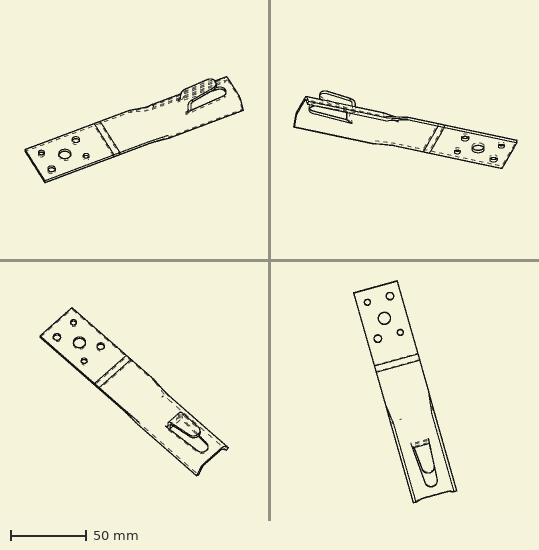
import cadquery as cq
import math

length = 146.5
width = 30.0
thickness = 2.2
inner_bend = 1.8
outer_bend = inner_bend + thickness

front_end = -length / 2
back_end = length / 2
strip_front = -22.3
strip_back = -17.9
transition_front = 3.4
channel_front = 18.2

channel_top = 6.2
channel_bottom = -3.2
leg_angle = math.radians(60)
side_edge_height = 1.9
side_edge_split = 0.5

center_hole_diameter = 8.0
center_hole_y = -51.3
large_hole_diameter = 5.0
small_hole_diameter = 4.0
left_hole_x = -7.9
right_hole_x = 7.6
back_hole_y = -39.3
front_hole_y = -64.8

tab_root_y = 35.3
tab_root_half_width = 6.08
tip_radius = 4.18
upright_length = 3.8
arm_rise = 10.0
arm_length = 19.8
second_bend = 90 - arm_rise

middle_bend = (inner_bend + outer_bend) / 2
root_bend_run = middle_bend * math.radians(90)
second_bend_run = middle_bend * math.radians(second_bend)
upright_start_run = root_bend_run
upright_end_run = upright_start_run + upright_length
arm_start_run = upright_end_run + second_bend_run
blank_length = arm_start_run + arm_length
tip_center_run = blank_length - tip_radius


def blank_half_width(run):
    """Half width of the tapered tab blank at a distance from its root."""
    return tab_root_half_width + (tip_radius - tab_root_half_width) * run / tip_center_run


def tapered_outline(plane, start_run):
    """Blank outline from start_run to the round tip; local X runs along the blank."""
    half = blank_half_width(start_run)
    center = tip_center_run - start_run
    return (
        cq.Workplane(plane)
        .moveTo(0, -half)
        .lineTo(center, -tip_radius)
        .threePointArc((center + tip_radius, 0), (center, tip_radius))
        .lineTo(0, half)
        .close()
    )


def flat_plate(y_start, y_end):
    return cq.Workplane("XY").box(width, y_end - y_start, thickness, centered=(True, False, False)).translate(
        (0, y_start, 0)
    )


sin_leg = math.sin(leg_angle)
cos_leg = math.cos(leg_angle)
leg_corner = (width / 2, channel_bottom + thickness * cos_leg)
leg_tip = (width / 2 - thickness * sin_leg, channel_bottom)
bend_center_z = channel_top - outer_bend
bend_end_z = bend_center_z + outer_bend * cos_leg
bend_end_x = width / 2 - (bend_end_z - leg_corner[1]) / math.tan(leg_angle)
bend_center_x = bend_end_x - outer_bend * sin_leg
side_edge_start = (
    leg_corner[0] - side_edge_height / math.tan(leg_angle),
    leg_corner[1] + side_edge_height,
)


def bend_point(radius, angle):
    """Point on the channel bend, with the angle measured from +Z towards +X."""
    return (bend_center_x + radius * math.sin(angle), bend_center_z + radius * math.cos(angle))


def mirrored(point):
    return (-point[0], point[1])


def section_plane(y):
    return cq.Plane(origin=(0, y, 0), xDir=(1, 0, 0), normal=(0, -1, 0))


def add_channel_section(work):
    outer_flat, outer_mid, outer_leg = [bend_point(outer_bend, leg_angle * f) for f in (0, 0.5, 1)]
    inner_flat, inner_mid, inner_leg = [bend_point(inner_bend, leg_angle * f) for f in (0, 0.5, 1)]
    return (
        work.moveTo(*mirrored(outer_flat))
        .lineTo(*outer_flat)
        .threePointArc(outer_mid, outer_leg)
        .lineTo(*side_edge_start)
        .lineTo(*leg_corner)
        .lineTo(*leg_tip)
        .lineTo(*inner_leg)
        .threePointArc(inner_mid, inner_flat)
        .lineTo(*mirrored(inner_flat))
        .threePointArc(mirrored(inner_mid), mirrored(inner_leg))
        .lineTo(*mirrored(leg_tip))
        .lineTo(*mirrored(leg_corner))
        .lineTo(*mirrored(side_edge_start))
        .lineTo(*mirrored(outer_leg))
        .threePointArc(mirrored(outer_mid), mirrored(outer_flat))
        .close()
    )


def add_flat_section(work):
    """Plate section with one point for each point of the channel section."""
    inner_leg_x = bend_point(inner_bend, leg_angle)[0]
    right_side = [
        (bend_center_x, thickness),
        (bend_end_x, thickness),
        (width / 2, thickness),
        (width / 2, side_edge_split),
        (width / 2, 0),
        (inner_leg_x, 0),
        (bend_center_x, 0),
    ]
    left_side = [mirrored(point) for point in reversed(right_side)]
    return work.polyline([left_side[-1]] + right_side + left_side[:-1]).close()


def channel():
    work = add_channel_section(cq.Workplane(section_plane(back_end)))
    return work.extrude(back_end - channel_front)


def transition():
    channel_wire = add_channel_section(cq.Workplane(section_plane(channel_front))).val()
    flat_wire = add_flat_section(cq.Workplane(section_plane(transition_front))).val()
    return cq.Workplane(cq.Solid.makeLoft([channel_wire, flat_wire], True))


def tab_slot():
    root_plane = cq.Plane(origin=(0, tab_root_y, channel_top - thickness), xDir=(0, 1, 0), normal=(0, 0, 1))
    return tapered_outline(root_plane, 0).extrude(thickness)


def spring_tab():
    rise = math.radians(arm_rise)
    arm_y, arm_z = math.cos(rise), math.sin(rise)
    upright_bottom = channel_top + inner_bend
    upright_top = upright_bottom + upright_length
    front_face = tab_root_y + inner_bend
    back_face = front_face + thickness
    second_center = (front_face + outer_bend, upright_top)
    half_turn = math.radians(second_bend / 2)

    def root_point(radius, angle):
        return (tab_root_y + radius * math.sin(angle), upright_bottom - radius * math.cos(angle))

    def second_point(radius, angle):
        return (second_center[0] - radius * math.cos(angle), second_center[1] + radius * math.sin(angle))

    outer_start = second_point(outer_bend, 2 * half_turn)
    inner_start = second_point(inner_bend, 2 * half_turn)
    profile = (
        cq.Workplane("YZ")
        .moveTo(*root_point(inner_bend, 0))
        .threePointArc(root_point(inner_bend, math.pi / 4), (front_face, upright_bottom))
        .lineTo(front_face, upright_top)
        .threePointArc(second_point(outer_bend, half_turn), outer_start)
        .lineTo(*inner_start)
        .threePointArc(second_point(inner_bend, half_turn), (back_face, upright_top))
        .lineTo(back_face, upright_bottom)
        .threePointArc(root_point(outer_bend, math.pi / 4), root_point(outer_bend, 0))
        .close()
        .extrude(tab_root_half_width, both=True)
    )

    right_side = [
        (tab_root_half_width, channel_top - thickness),
        (blank_half_width(upright_start_run), upright_bottom),
        (blank_half_width(upright_end_run), upright_top),
        (blank_half_width(arm_start_run), outer_start[1]),
    ]
    left_side = [mirrored(point) for point in reversed(right_side)]
    taper = (
        cq.Workplane(section_plane(outer_start[0] + thickness))
        .polyline(right_side + left_side)
        .close()
        .extrude(outer_start[0] + thickness - tab_root_y)
    )

    arm_plane = cq.Plane(origin=(0, *inner_start), xDir=(0, arm_y, arm_z), normal=(0, -arm_z, arm_y))
    arm = tapered_outline(arm_plane, arm_start_run).extrude(thickness)
    return profile.intersect(taper).union(arm)


def make_channel_bracket():
    neck = flat_plate(strip_back, transition_front)
    return channel().cut(tab_slot()).union(transition()).union(neck).union(spring_tab())


def make_joint_strip():
    return flat_plate(strip_front, strip_back)


def make_hole_plate():
    holes = [
        (0, center_hole_y, center_hole_diameter),
        (left_hole_x, back_hole_y, large_hole_diameter),
        (right_hole_x, back_hole_y, small_hole_diameter),
        (left_hole_x, front_hole_y, small_hole_diameter),
        (right_hole_x, front_hole_y, large_hole_diameter),
    ]
    plate = flat_plate(front_end, strip_front)
    for x, y, diameter in holes:
        plate = plate.cut(cq.Workplane("XY").center(x, y).circle(diameter / 2).extrude(thickness))
    return plate


channel_bracket = make_channel_bracket()
joint_strip = make_joint_strip()
hole_plate = make_hole_plate()

result = cq.Compound.makeCompound(
    [channel_bracket.solids().val(), joint_strip.val(), hole_plate.solids().val()]
)